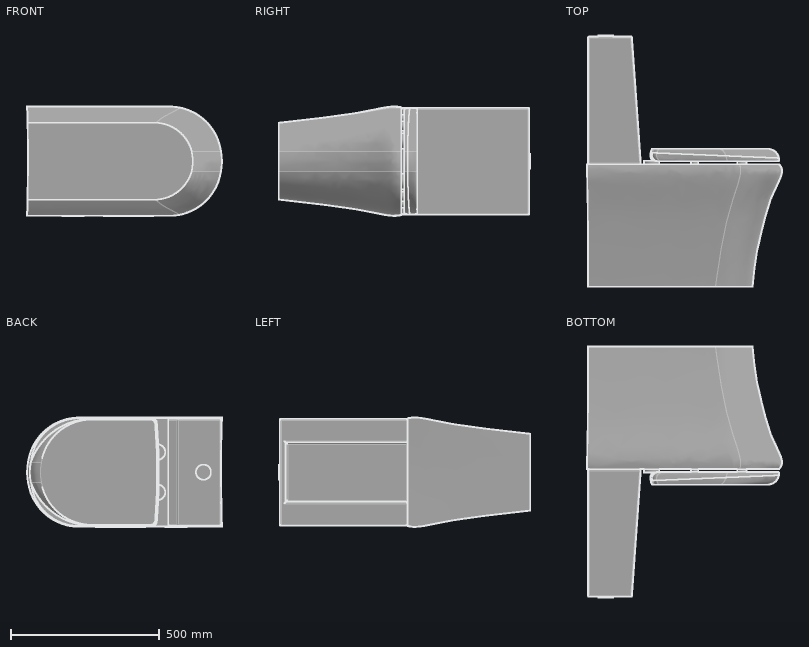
import cadquery as cq
import math


total_height = 849.0
rim_height = 414.0

nose_half = 34.0
nose_sag = 3.0
bend_start_floor = 427.0
bend_start_rim = 480.0
flank_bend_share = 0.9
bowl_levels = [
    (130.0, 556.0, 430.0, 0.0),
    (132.0, 558.0, 432.0, 0.0),
    (138.0, 565.0, 441.0, 0.0),
    (148.5, 580.0, 454.0, 0.0),
    (161.0, 604.0, 475.5, -1.0),
    (177.5, 635.0, 502.0, -2.5),
    (185.0, 655.5, 514.5, -3.0),
    (182.0, 645.0, 511.0, -3.0),
]

tank_depth_bottom = 179.0
tank_depth_top = 148.5
tank_half_width = 181.0
tank_round = 5.0
button_height = 3.0
tank_top = total_height - button_height

recess_half_width = 100.0
recess_top = 825.0
recess_round = 6.0
recess_depth = 13.0

button_diameter = 51.0
button_x = 59.5

corner_radius = 14.5
back_crown = 7.0
cushion_levels = [
    (424.0, 175.0, 234.0, 642.0, 472.0),
    (429.0, 178.0, 217.0, 646.0, 469.0),
    (443.0, 180.0, 210.0, 643.0, 464.0),
    (458.0, 179.0, 212.0, 632.5, 458.0),
    (467.0, 177.5, 216.0, 610.5, 441.5),
]
cushion_bend_start = 437.0
parting_height_rear = 453.0
parting_height_front = 435.0
parting_x_rear = 204.0
parting_x_front = 654.0

hinge_diameter = 53.0
hinge_height = 12.0
hinge_x = 215.0
hinge_z = 68.0

pads = [(25.5, 360.0, 144.0), (32.0, 520.0, 119.0)]


def vec(x, y, z):
    return cq.Vector(x, y, z)


def mirror_point(p):
    return vec(p.x, p.y, -p.z)


def front_edges(y, rear_x, half, nose_x, seam_x, bend_x):
    """Flank, shoulder arc and nose of one level, from the rear on +Z round to the rear on -Z."""
    corner_x = nose_x - nose_sag
    run = corner_x - bend_x
    rise = half - nose_half
    radius = (run**2 + rise**2) / (2 * rise)
    center_z = half - radius
    seam_angle = math.asin(max(seam_x - bend_x, 0) / radius)
    corner_angle = math.atan2(run, nose_half - center_z)

    def on_shoulder(angle):
        return vec(bend_x + radius * math.sin(angle), y, center_z + radius * math.cos(angle))

    rear = vec(rear_x, y, half)
    bend = vec(bend_x, y, half)
    seam = on_shoulder(seam_angle)
    middle = on_shoulder((seam_angle + corner_angle) / 2)
    corner = on_shoulder(corner_angle)
    along = vec(1, 0, 0)
    at_seam = vec(math.cos(seam_angle), 0, -math.sin(seam_angle))

    flank = cq.Edge.makeSpline(
        [rear, bend, seam],
        tangents=[along, along, at_seam],
        parameters=[0, flank_bend_share, 1],
    )
    shoulder = cq.Edge.makeThreePointArc(seam, middle, corner)
    nose = cq.Edge.makeThreePointArc(corner, vec(nose_x, y, 0), mirror_point(corner))
    far_shoulder = cq.Edge.makeThreePointArc(mirror_point(corner), mirror_point(middle), mirror_point(seam))
    far_flank = cq.Edge.makeSpline(
        [mirror_point(seam), mirror_point(bend), mirror_point(rear)],
        tangents=[vec(-at_seam.x, 0, at_seam.z), along * -1, along * -1],
        parameters=[0, 1 - flank_bend_share, 1],
    )
    return [flank, shoulder, nose, far_shoulder, far_flank]


def bowl_section(y, half, nose_x, seam_x, rear_x):
    bend_x = bend_start_floor + (bend_start_rim - bend_start_floor) * y / rim_height
    edges = front_edges(y, rear_x, half, nose_x, seam_x, bend_x)
    rear_edge = cq.Edge.makeSpline(
        [vec(rear_x, y, -half), vec(0, y, 0), vec(rear_x, y, half)],
        parameters=[0, 0.5, 1],
    )
    return cq.Wire.assembleEdges(edges + [rear_edge])


def make_bowl():
    sections = []
    for i, level in enumerate(bowl_levels):
        height = rim_height * (1 - math.cos(math.pi * i / (len(bowl_levels) - 1))) / 2
        sections.append(bowl_section(height, *level))
    return cq.Workplane(cq.Solid.makeLoft(sections))


def make_tank():
    side = [(0, rim_height), (tank_depth_bottom, rim_height), (tank_depth_top, tank_top), (0, tank_top)]
    tank = cq.Workplane("XY").polyline(side).close().extrude(tank_half_width, both=True)
    tank = tank.edges("not <Y").fillet(tank_round).cut(make_recess())
    return tank.faces("<Y").edges().fillet(tank_round)


def make_recess():
    """Cutter for the rear recess: rounded along its floor, flaring out to the wall at its mouth."""
    height = recess_top - rim_height
    mouth_margin = 3 * recess_round
    mouth = (
        cq.Workplane("YZ", origin=(-recess_round, 0, 0))
        .center(rim_height, 0)
        .rect(2 * (height + mouth_margin), 2 * (recess_half_width + mouth_margin))
        .extrude(recess_round)
    )
    well = (
        cq.Workplane("YZ")
        .center(rim_height, 0)
        .rect(2 * height, 2 * recess_half_width)
        .extrude(recess_depth)
    )
    well = well.faces(">X").edges().fillet(recess_round)
    mouth_edges = cq.selectors.BoxSelector(
        (-recess_round / 2, 0, -recess_half_width - recess_round),
        (recess_round / 2, recess_top + recess_round, recess_half_width + recess_round),
    )
    return mouth.union(well).edges(mouth_edges).fillet(recess_round)


def make_button():
    return (
        cq.Workplane("XZ", origin=(button_x, tank_top, 0))
        .circle(button_diameter / 2)
        .extrude(-button_height)
    )


def cushion_section(y, half, rear_x, nose_x, seam_x):
    edge_x = rear_x + back_crown
    side_x = edge_x + corner_radius
    edges = front_edges(y, side_x, half, nose_x, seam_x, cushion_bend_start)
    slant = corner_radius * (1 - math.sqrt(0.5))
    near = vec(side_x, y, half)
    bend = vec(edge_x + slant, y, half - slant)
    end = vec(edge_x, y, half - corner_radius)
    edges.append(cq.Edge.makeThreePointArc(mirror_point(near), mirror_point(bend), mirror_point(end)))
    edges.append(cq.Edge.makeThreePointArc(mirror_point(end), vec(rear_x, y, 0), end))
    edges.append(cq.Edge.makeThreePointArc(end, bend, near))
    return cq.Wire.assembleEdges(edges)


def make_cushion():
    return cq.Workplane(cq.Solid.makeLoft([cushion_section(*level) for level in cushion_levels]))


def above_parting():
    """Block that fills everything above the sloping plane between seat and lid."""
    outline = [
        (parting_x_rear, parting_height_rear),
        (parting_x_front, parting_height_front),
        (parting_x_front, total_height),
        (parting_x_rear, total_height),
    ]
    return cq.Workplane("XY").polyline(outline).close().extrude(rim_height, both=True)


def upright_disc(diameter, x, z, height):
    """Disc standing on the bowl rim."""
    return cq.Workplane("XZ", origin=(x, rim_height, z)).circle(diameter / 2).extrude(-height)


def make_hinge(z):
    return upright_disc(hinge_diameter, hinge_x, z, hinge_height)


def make_lid():
    return make_cushion().intersect(above_parting())


def make_seat(hinges):
    seat = make_cushion().cut(above_parting())
    pad_top = cushion_levels[1][0]
    pad_height = pad_top - rim_height
    for diameter, x, z in pads:
        for side in (1, -1):
            seat = seat.union(upright_disc(diameter, x, side * z, pad_height))
    for hinge in hinges:
        seat = seat.cut(hinge)
    return seat


bowl = make_bowl()
tank = make_tank()
button = make_button()
hinges = [make_hinge(side * hinge_z) for side in (1, -1)]
seat = make_seat(hinges)
lid = make_lid()

bodies = [bowl, tank, button, seat, lid, *hinges]
result = cq.Compound.makeCompound([body.solids().val() for body in bodies])